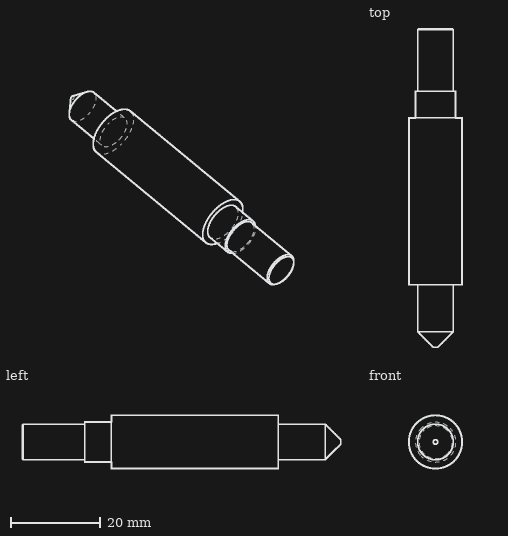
import cadquery as cq

total_length = 71.5
tip_length = 3.5
front_pin_length = 10.5
body_length = 37.5
collar_length = 6.0

pin_diameter = 8.0
body_diameter = 12.0
collar_diameter = 9.0
tip_flat_diameter = 1.0
rear_chamfer = 0.3

tip_y = -total_length / 2
rear_y = total_length / 2
front_pin_y = tip_y + tip_length
body_y = front_pin_y + front_pin_length
collar_y = body_y + body_length
rear_pin_y = collar_y + collar_length


def cylinder(diameter, start_y, end_y):
    """Solid cylinder on the Y axis between two positions."""
    return (
        cq.Workplane("XZ", origin=(0, start_y, 0))
        .circle(diameter / 2)
        .extrude(start_y - end_y)
    )


def conical_tip():
    """Truncated cone ending in a small flat."""
    return (
        cq.Workplane("XY")
        .moveTo(0, tip_y)
        .lineTo(tip_flat_diameter / 2, tip_y)
        .lineTo(pin_diameter / 2, front_pin_y)
        .lineTo(0, front_pin_y)
        .close()
        .revolve(360, (0, 0, 0), (0, 1, 0))
    )


front_pin = cylinder(pin_diameter, front_pin_y, body_y)
body = cylinder(body_diameter, body_y, collar_y)
collar = cylinder(collar_diameter, collar_y, rear_pin_y)
rear_pin = cylinder(pin_diameter, rear_pin_y, rear_y).faces(">Y").chamfer(rear_chamfer)

result = conical_tip().union(front_pin).union(body).union(collar).union(rear_pin)